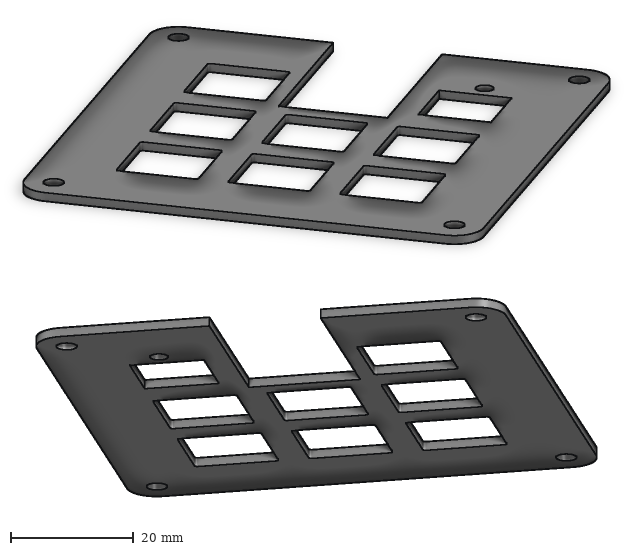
import cadquery as cq

plate_width = 78.3
plate_depth = 80.4
plate_thickness = 1.5
corner_radius = 5.0

mount_hole_diameter = 3.4

key_size = 14.0
key_pitch = 19.05
key_corner_radius = 0.5
middle_row_y = -1.0
key_cells = [(-1, 1), (-1, 0), (0, 0), (1, 0), (-1, -1), (0, -1), (1, -1)]

notch_width = 18.6
notch_depth = 30.9

window_width = 12.4
window_height = 11.7
window_x = key_pitch + (key_size - window_width) / 2
window_y = middle_row_y + key_pitch

small_hole_diameter = 3.0
small_hole_x = 20.5
small_hole_y = 27.0


def block(width, depth, x=0, y=0):
    """Block as thick as the plate, centred at (x, y)."""
    return cq.Workplane("XY").center(x, y).rect(width, depth).extrude(plate_thickness)


def through_holes(diameter, points):
    return cq.Workplane("XY").pushPoints(points).circle(diameter / 2).extrude(plate_thickness)


def key_opening(column, row):
    opening = block(key_size, key_size, column * key_pitch, middle_row_y + row * key_pitch)
    return opening.edges("|Z").fillet(key_corner_radius)


plate = block(plate_width, plate_depth).edges("|Z").fillet(corner_radius)

mount_x = plate_width / 2 - corner_radius
mount_y = plate_depth / 2 - corner_radius
mount_points = [(sx * mount_x, sy * mount_y) for sx in (-1, 1) for sy in (-1, 1)]
plate = plate.cut(through_holes(mount_hole_diameter, mount_points))

for column, row in key_cells:
    plate = plate.cut(key_opening(column, row))

plate = plate.cut(block(notch_width, notch_depth, y=(plate_depth - notch_depth) / 2))
plate = plate.cut(block(window_width, window_height, window_x, window_y))
plate = plate.cut(through_holes(small_hole_diameter, [(small_hole_x, small_hole_y)]))

result = plate